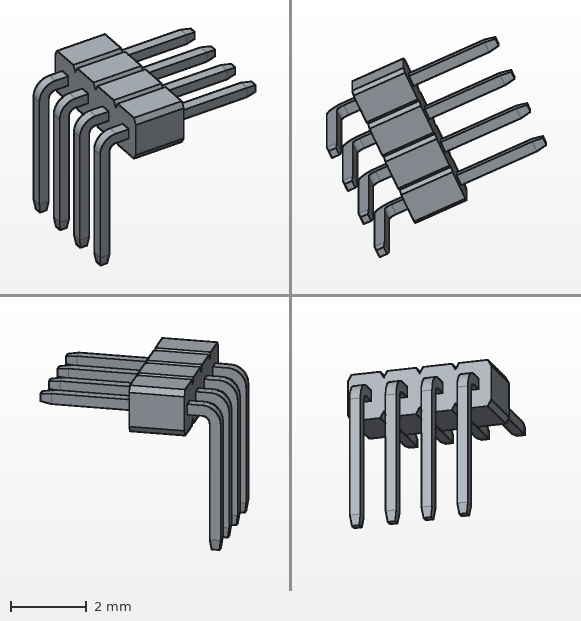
import cadquery as cq
import math


pin_count = 4
pitch = 1.0
overall_length = 4.9
overall_height = 4.55

body_depth = 1.5
body_height = 1.3
notch_run = 0.1
notch_depth = 0.17

pin_width = 0.3
mating_reach = 2.5
bend_inner_radius = 0.2
tip_length = 0.3
tip_width = 0.21

row_length = pin_count * pitch
half_pin = pin_width / 2
bend_outer_radius = bend_inner_radius + pin_width
tip_taper = math.degrees(math.atan((pin_width - tip_width) / 2 / tip_length))

mating_end_y = body_depth / 2 + mating_reach
tail_front_y = mating_end_y - overall_length
tail_end_z = body_height / 2 - overall_height

mating_shoulder_y = mating_end_y - tip_length
tail_shoulder_z = tail_end_z + tip_length
bend_center_y = tail_front_y + bend_outer_radius
bend_center_z = half_pin - bend_outer_radius

pin_positions = [(i + 0.5) * pitch - row_length / 2 for i in range(pin_count)]


def make_segment(x):
    """One body segment, with its four edges along Y cut off."""
    half_length = pitch / 2
    half_height = body_height / 2
    outline = [
        (x - half_length, half_height - notch_depth),
        (x - half_length + notch_run, half_height),
        (x + half_length - notch_run, half_height),
        (x + half_length, half_height - notch_depth),
        (x + half_length, notch_depth - half_height),
        (x + half_length - notch_run, -half_height),
        (x - half_length + notch_run, -half_height),
        (x - half_length, notch_depth - half_height),
    ]
    return cq.Workplane("XZ").polyline(outline).close().extrude(body_depth / 2, both=True)


def add_tip(pin, end_face):
    """Add a tapered square tip to the chosen end face of a pin."""
    return (
        pin.faces(end_face)
        .workplane(centerOption="CenterOfMass")
        .rect(pin_width, pin_width)
        .extrude(tip_length, taper=tip_taper)
    )


def make_pin(x):
    """A square pin bent down at a right angle, tapered at both ends."""
    diagonal = math.sqrt(0.5)
    outer_mid = (bend_center_y - bend_outer_radius * diagonal, bend_center_z + bend_outer_radius * diagonal)
    inner_mid = (bend_center_y - bend_inner_radius * diagonal, bend_center_z + bend_inner_radius * diagonal)
    pin = (
        cq.Workplane("YZ", origin=(x, 0, 0))
        .moveTo(mating_shoulder_y, half_pin)
        .lineTo(bend_center_y, half_pin)
        .threePointArc(outer_mid, (tail_front_y, bend_center_z))
        .lineTo(tail_front_y, tail_shoulder_z)
        .lineTo(tail_front_y + pin_width, tail_shoulder_z)
        .lineTo(tail_front_y + pin_width, bend_center_z)
        .threePointArc(inner_mid, (bend_center_y, -half_pin))
        .lineTo(mating_shoulder_y, -half_pin)
        .close()
        .extrude(half_pin, both=True)
    )
    pin = add_tip(pin, ">Y")
    return add_tip(pin, "<Z")


header = cq.Workplane("XY")
for pin_x in pin_positions:
    header = header.union(make_segment(pin_x))
header = header.clean()
for pin_x in pin_positions:
    header = header.union(make_pin(pin_x))

result = header